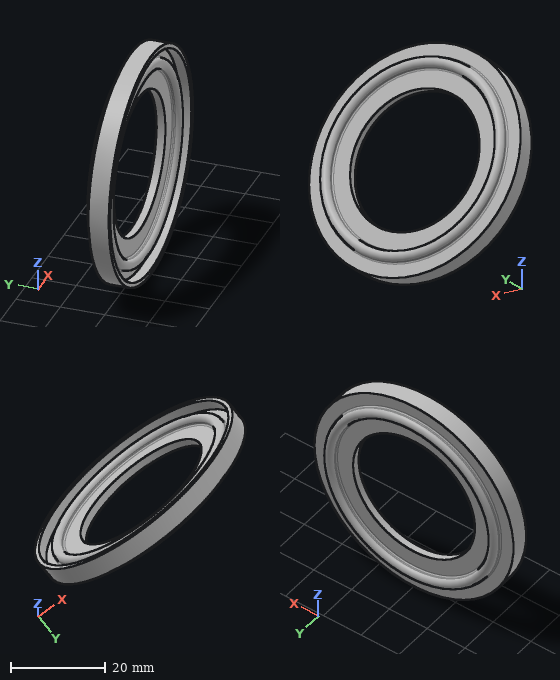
import cadquery as cq

outer_diameter = 52.7
lip_inner_diameter = 50.5
bore_diameter = 32.2
bead_outer_diameter = 45.9
bead_inner_diameter = 41.1
overall_depth = 6.4
bead_height = 1.85
web_thickness = 2.0
bead_root_fillet = 0.3

rim_depth = overall_depth - bead_height
bead_radius = (bead_outer_diameter - bead_inner_diameter) / 4
bead_center_radius = (bead_outer_diameter + bead_inner_diameter) / 4

front_y = -overall_depth / 2
web_back_y = front_y + rim_depth
web_front_y = web_back_y - web_thickness


def ring(ring_outer_diameter, ring_inner_diameter, start_y, end_y):
    """Flat ring around the Y axis between two Y positions."""
    return (
        cq.Workplane("XZ", origin=(0, start_y, 0))
        .circle(ring_outer_diameter / 2)
        .circle(ring_inner_diameter / 2)
        .extrude(start_y - end_y)
    )


def bead(face_y, direction):
    """Half-round bead on straight flanks, flared into the web face by root fillets."""
    outer_radius = bead_center_radius + bead_radius
    inner_radius = bead_center_radius - bead_radius
    fillet_end_y = face_y + direction * bead_root_fillet
    crest_y = face_y + direction * bead_height
    round_start_y = crest_y - direction * bead_radius
    fillet_mid = bead_root_fillet * (1 - 0.5 ** 0.5)
    fillet_mid_y = face_y + direction * fillet_mid
    profile = (
        cq.Workplane("XY")
        .moveTo(inner_radius - bead_root_fillet, face_y)
        .threePointArc((inner_radius - fillet_mid, fillet_mid_y), (inner_radius, fillet_end_y))
        .lineTo(inner_radius, round_start_y)
        .threePointArc((bead_center_radius, crest_y), (outer_radius, round_start_y))
        .lineTo(outer_radius, fillet_end_y)
        .threePointArc(
            (outer_radius + fillet_mid, fillet_mid_y),
            (outer_radius + bead_root_fillet, face_y),
        )
        .close()
    )
    return profile.revolve(360, (0, 0, 0), (0, 1, 0))


web = ring(outer_diameter, bore_diameter, web_front_y, web_back_y)
lip = ring(outer_diameter, lip_inner_diameter, front_y, web_front_y)
front_bead = bead(web_front_y, -1)
back_bead = bead(web_back_y, 1)

result = web.union(lip).union(front_bead).union(back_bead)